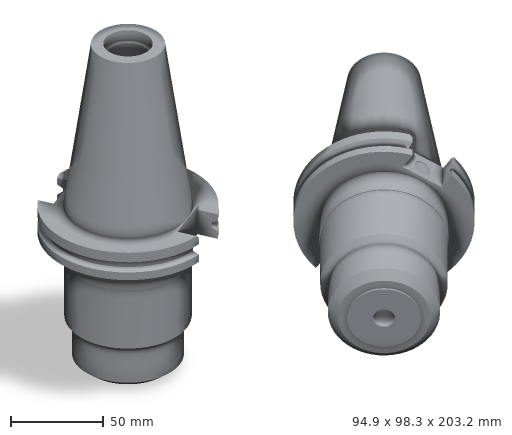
import cadquery as cq
import math

total_height = 203.2
taper_small_diameter = 40.2
taper_large_diameter = 69.7
taper_base_z = 102.0
shoulder_diameter = 70.3

flange_diameter = 98.3
flange_bottom_z = 82.5
flange_top_z = 100.0
groove_diameter = 91.6
groove_bottom_z = 87.4
groove_floor_bottom_z = 88.8
groove_floor_top_z = 92.3
groove_top_z = 93.9

collar_bottom_z = 67.3
body_diameter = 69.3
body_bottom_z = 29.7
neck_diameter = 61.0
neck_top_z = 26.0
nose_chamfer_top_z = 5.3
nose_diameter = 50.5
nose_z = 1.0
sleeve_diameter = 40.2

mouth_diameter = 26.8
mouth_depth = 6.7
thread_diameter = 22.5
thread_depth = 44.7
through_diameter = 12.0

slot_width = 25.8
left_slot_floor_x = -37.5
right_slot_floor_x = 35.4
slot_chamfer = 1.8

mark_diameter = 9.8
mark_z = 90.5
mark_depth = 0.5


def revolved_body():
    """Solid of revolution about Z, outlined by (diameter, z) corners from the nose up."""
    corners = [
        (0, 0),
        (sleeve_diameter, 0),
        (sleeve_diameter, nose_z),
        (nose_diameter, nose_z),
        (neck_diameter, nose_chamfer_top_z),
        (neck_diameter, neck_top_z),
        (body_diameter, body_bottom_z),
        (body_diameter, collar_bottom_z),
        (shoulder_diameter, collar_bottom_z),
        (shoulder_diameter, flange_bottom_z),
        (flange_diameter, flange_bottom_z),
        (flange_diameter, groove_bottom_z),
        (groove_diameter, groove_floor_bottom_z),
        (groove_diameter, groove_floor_top_z),
        (flange_diameter, groove_top_z),
        (flange_diameter, flange_top_z),
        (shoulder_diameter, flange_top_z),
        (taper_large_diameter, taper_base_z),
        (taper_small_diameter, total_height),
        (0, total_height),
    ]
    outline = [(diameter / 2, z) for diameter, z in corners]
    return cq.Workplane("XZ").polyline(outline).close().revolve(360, (0, 0), (0, 1))


def bore_from_top(diameter, depth):
    return cq.Workplane("XY").workplane(offset=total_height).circle(diameter / 2).extrude(-depth)


def drive_slot(floor_x):
    """Slot with chamfered top edges, open outward from its floor at floor_x."""
    side = math.copysign(1, floor_x)
    half_width = slot_width / 2
    half_mouth = half_width + slot_chamfer
    chamfer_z = flange_top_z - slot_chamfer
    section = [
        (-half_width, flange_bottom_z),
        (half_width, flange_bottom_z),
        (half_width, chamfer_z),
        (half_mouth, flange_top_z),
        (-half_mouth, flange_top_z),
        (-half_width, chamfer_z),
    ]
    floor = cq.Workplane("YZ").workplane(offset=floor_x)
    return floor.polyline(section).close().extrude(side * flange_diameter / 2)


def slot_mark():
    floor = cq.Workplane("YZ").workplane(offset=left_slot_floor_x)
    return floor.center(0, mark_z).circle(mark_diameter / 2).extrude(mark_depth)


result = revolved_body()
for diameter, depth in [
    (mouth_diameter, mouth_depth),
    (thread_diameter, thread_depth),
    (through_diameter, total_height),
]:
    result = result.cut(bore_from_top(diameter, depth))
for floor_x in (left_slot_floor_x, right_slot_floor_x):
    result = result.cut(drive_slot(floor_x))
result = result.cut(slot_mark())